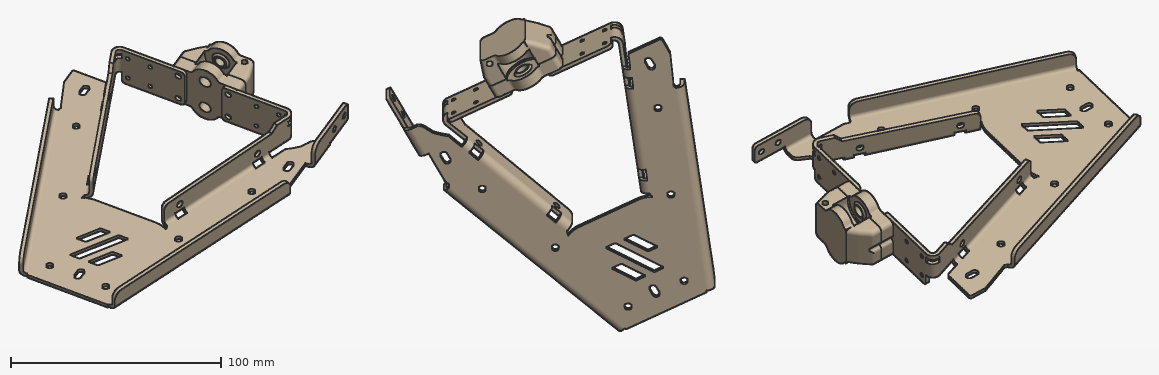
import cadquery as cq
import math


sheet = 2.0
bend_inner = 2.0
bend_outer = bend_inner + sheet
splay = 20.0
sin_splay = math.sin(math.radians(splay))
cos_splay = math.cos(math.radians(splay))

flange_foot = (-22.0, -140.28)
flange_height = 12.0
flange_corner = 4.5
left_flange_length = 110.4
right_flange_length = 112.9

arm_foot = (-22.1, -81.1)
arm_bend_length = 67.6
arm_corner = 3.0
arm_tip_height = 13.9
arm_shoulder_height = 15.45
arm_shoulder = 69.0
arm_full_height = 72.5
arm_hole_places = (10.0, 60.0)
arm_hole_height = 8.2
screw_hole = 3.5
window_length = 5.8

rear_top = 19.0
rear_bottom = -3.0
rear_inner_x = 10.0
rear_corner = 2.0
rear_middle = (rear_top + rear_bottom) / 2
block_hole = 3.1
block_hole_x = 13.4
block_hole_pitch = 15.0
small_hole = 2.1
small_hole_xs = (28.5, 40.5)
small_hole_pitch = 13.0
corner_slot_bottom = 13.3
corner_slot_top = 16.2

front_y = -141.0
throat_y = -81.7
throat_half_width = 16.6
throat_relief = (22.5, -83.4)
wing_left_x = -65.9
wing_rear_y = -9.7
wing_corner = 1.0

tab_outer_x = 66.1
tab_bend_x = tab_outer_x - bend_outer
tab_bend_rear_y = 2.1
tab_front_y = -13.5
tab_rear_y = 20.2
tab_top = 15.1
tab_front_corner = 5.0
tab_rear_top_corner = 2.0
tab_rear_bottom_corner = 1.0
tab_hole_ys = (6.3, 16.3)
tab_hole_height = 9.6
tab_hole = 3.1

base_holes = ((47.1, -42.2), (31.0, -86.4), (15.0, -130.6))
base_slots = ((-54.8, -19.2), (54.8, -19.2), (0, -129.0))
slot_length = 6.7
stripe_width = 5.4
stripe_rise = 11.25
stripe_lean = 0.65
stripe_centre_y = -108.6
stripe_pitch = 6.2
stripe_corner = 0.4

block_depth = 21.0
block_half_width = 18.0
block_half_height = 11.5
block_centre_z = 7.5
block_edge = 2.5
side_depth = 12.0
left_corner_x = -8.9
right_corner_x = 15.2
left_kink = (-13.2, 17.15)
left_corner_round = 2.0
split_y = 7.0
axle_spacing = 17.1
ear_radius = 7.75
ear_root = 2.0
front_ear_thickness = 6.0
rear_ear_thickness = 5.0
pulley_radius = 8.5
boss_base_radius = 4.7
boss_tip_radius = 3.5
boss_height = 1.0
front_axle_hole = 6.1
rear_axle_hole = 5.2
rear_axle_depth = 4.0
cable_hole = 2.88
cable_hole_place = (11.7, 18.0)
groove_opening = 5.3
groove_floor = 2.45
groove_depth = 1.3


def mirrored(shape):
    return shape.mirror("YZ")


def arm_point(place, across):
    """Point of the left arm in XY: `place` runs from its front end, `across` from the bend line."""
    return (
        arm_foot[0] - place * sin_splay + across * cos_splay,
        arm_foot[1] + place * cos_splay + across * sin_splay,
    )


def arm_point_at_y(y, across):
    place = (y - arm_foot[1] - across * sin_splay) / cos_splay
    return arm_point(place, across)


arm_plane = cq.Plane(
    origin=(*arm_foot, 0),
    xDir=(-sin_splay, cos_splay, 0),
    normal=(cos_splay, sin_splay, 0),
)


def folded_strip(start, along, length, height):
    """Sheet bent up from the base; the base lies on the right-hand side of the direction `along`."""
    outward = (-along[1], along[0], 0)
    plane = cq.Plane(origin=(*start, 0), xDir=outward, normal=(*along, 0))
    half = math.sqrt(0.5)
    profile = (
        cq.Workplane(plane)
        .moveTo(0, 0)
        .threePointArc((bend_outer * half, bend_outer * (1 - half)), (bend_outer, bend_outer))
        .lineTo(bend_outer, height)
        .lineTo(bend_inner, height)
        .lineTo(bend_inner, bend_outer)
        .threePointArc((bend_inner * half, bend_outer - bend_inner * half), (0, sheet))
        .close()
    )
    return profile.extrude(length)


def side_flange(length):
    strip = folded_strip(flange_foot, (-sin_splay, cos_splay), length, flange_height)
    ends = cq.selectors.ParallelDirSelector(cq.Vector(cos_splay, sin_splay, 0))
    return strip.faces(">Z").edges(ends).fillet(flange_corner)


def arm_and_rear_plate():
    """Left arm, its corner bend and the rear plate, with the bend that joins the arm to the base."""
    outer_corner = arm_point_at_y(0, bend_inner)
    inner_corner = arm_point_at_y(-sheet, bend_outer)
    strip = (
        cq.Workplane("XY", origin=(0, 0, bend_outer))
        .polyline([
            (-rear_inner_x, 0),
            outer_corner,
            arm_point(0, bend_inner),
            arm_point(0, bend_outer),
            inner_corner,
            (-rear_inner_x, -sheet),
        ])
        .close()
        .extrude(rear_top - bend_outer)
    )
    strip = strip.edges(cq.NearestToPointSelector((*outer_corner, rear_middle))).fillet(bend_outer)
    strip = strip.edges(cq.NearestToPointSelector((*inner_corner, rear_middle))).fillet(bend_inner)

    above_arm = (
        cq.Workplane(arm_plane)
        .polyline([
            (-1, arm_tip_height),
            (0, arm_tip_height),
            (arm_shoulder, arm_shoulder_height),
            (arm_full_height, rear_top),
            (arm_full_height, rear_top + 1),
            (-1, rear_top + 1),
        ])
        .close()
        .extrude(bend_outer + 1)
    )
    strip = strip.cut(above_arm)
    arm_tip = (*arm_point(0, bend_inner + sheet / 2), arm_tip_height)
    strip = strip.edges(cq.NearestToPointSelector(arm_tip)).fillet(arm_corner)

    corner_tangent = bend_outer / math.tan(math.radians((90 - splay) / 2))
    bend_x = outer_corner[0] + corner_tangent
    lower_plate = (
        cq.Workplane("XZ")
        .moveTo(bend_x, rear_bottom)
        .lineTo(-rear_inner_x, rear_bottom)
        .lineTo(-rear_inner_x, rear_middle)
        .lineTo(bend_x, rear_middle)
        .close()
        .extrude(sheet)
        .edges("|Y and <Z")
        .fillet(rear_corner)
    )
    strip = strip.edges("|Y and >X and >Z").fillet(rear_corner)

    corner_slot = cq.Workplane("XY").box(
        bend_x - outer_corner[0],
        corner_tangent * cos_splay,
        corner_slot_top - corner_slot_bottom,
        centered=False,
    ).translate((outer_corner[0], -corner_tangent * cos_splay, corner_slot_bottom))

    backward_start = arm_point(arm_bend_length, 0)
    bend = folded_strip(backward_start, (sin_splay, -cos_splay), arm_bend_length, bend_outer + 0.5)
    body = strip.cut(corner_slot).union(lower_plate).union(bend)

    for place in arm_hole_places:
        window = cq.Workplane(arm_plane).center(place, bend_outer / 2).rect(window_length, bend_outer)
        hole = cq.Workplane(arm_plane).center(place, arm_hole_height).circle(screw_hole / 2)
        body = body.cut(window.extrude(bend_outer)).cut(hole.extrude(bend_outer))

    block_holes = [
        (-block_hole_x, rear_middle + side * block_hole_pitch / 2) for side in (-1, 1)
    ]
    small_holes = [
        (-x, rear_middle + side * small_hole_pitch / 2) for x in small_hole_xs for side in (-1, 1)
    ]
    plate_face = cq.Workplane("XZ")
    body = body.cut(plate_face.pushPoints(block_holes).circle(block_hole / 2).extrude(sheet))
    return body.cut(plate_face.pushPoints(small_holes).circle(small_hole / 2).extrude(sheet))


def base_plate():
    left_end = (flange_foot[0] - left_flange_length * sin_splay,
                flange_foot[1] + left_flange_length * cos_splay)
    right_end = (-flange_foot[0] + right_flange_length * sin_splay,
                 flange_foot[1] + right_flange_length * cos_splay)
    throat_arc_mid = (20.0, -82.35)
    wing_inner_x = -arm_point_at_y(wing_rear_y, 0)[0]
    outline = (
        cq.Workplane("XY")
        .moveTo(flange_foot[0] + 0.4, front_y)
        .lineTo(*flange_foot)
        .lineTo(*left_end)
        .lineTo(left_end[0] + 0.5, left_end[1] + 1.8)
        .lineTo(left_end[0] - 0.3, left_end[1] + 3.4)
        .lineTo(wing_left_x, -18.8)
        .lineTo(wing_left_x, wing_rear_y)
        .lineTo(-wing_inner_x, wing_rear_y)
        .lineTo(*arm_foot)
        .lineTo(-throat_relief[0], throat_relief[1])
        .threePointArc((-throat_arc_mid[0], throat_arc_mid[1]), (-throat_half_width, throat_y))
        .lineTo(throat_half_width, throat_y)
        .threePointArc(throat_arc_mid, throat_relief)
        .lineTo(-arm_foot[0], arm_foot[1])
        .lineTo(wing_inner_x, wing_rear_y)
        .lineTo(51.0, -7.4)
        .lineTo(53.8, -4.7)
        .lineTo(55.8, -0.9)
        .threePointArc((57.0, 1.0), (58.8, tab_bend_rear_y))
        .lineTo(tab_bend_x, tab_bend_rear_y)
        .lineTo(tab_bend_x, tab_front_y)
        .lineTo(60.9, tab_front_y)
        .lineTo(60.9, -30.6)
        .lineTo(60.2, -32.2)
        .lineTo(right_end[0] - 0.5, right_end[1] + 1)
        .lineTo(*right_end)
        .lineTo(-flange_foot[0], flange_foot[1])
        .lineTo(-flange_foot[0] - 0.4, front_y)
        .close()
    )
    plate = outline.extrude(sheet)
    for x in (wing_left_x, -wing_inner_x):
        corner = cq.NearestToPointSelector((x, wing_rear_y, sheet / 2))
        plate = plate.edges(corner).fillet(wing_corner)
    holes = [(side * x, y) for x, y in base_holes for side in (-1, 1)]
    plate = plate.cut(cq.Workplane("XY").pushPoints(holes).circle(screw_hole / 2).extrude(sheet))
    slots = cq.Workplane("XY").pushPoints(base_slots).slot2D(slot_length, screw_hole, 90)
    return plate.cut(slots.extrude(sheet)).cut(slanted_openings())


def slanted_openings():
    def opening(x, y, rise):
        run = rise * stripe_lean
        return (
            cq.Workplane("XY", origin=(x, y, 0))
            .polyline([
                (-run / 2 - stripe_width / 2, -rise / 2),
                (-run / 2 + stripe_width / 2, -rise / 2),
                (run / 2 + stripe_width / 2, rise / 2),
                (run / 2 - stripe_width / 2, rise / 2),
            ])
            .close()
            .extrude(sheet)
        )

    openings = opening(0, stripe_centre_y, 2 * stripe_rise)
    for side in (-1, 1):
        short = opening(side * stripe_pitch, stripe_centre_y - side * stripe_rise / 2, stripe_rise)
        openings = openings.union(short)
    return openings.edges("|Z").fillet(stripe_corner)


def wing_tab():
    start = (tab_bend_x, tab_bend_rear_y)
    foot = folded_strip(start, (0, -1), tab_bend_rear_y - tab_front_y, tab_top)
    foot = foot.edges("|X and >Z and <Y").fillet(tab_front_corner)
    reach = tab_rear_y - tab_bend_rear_y
    tail = (
        cq.Workplane("XY")
        .box(sheet, reach, tab_top - bend_outer, centered=False)
        .translate((tab_outer_x - sheet, tab_bend_rear_y, bend_outer))
        .edges("|X and >Y and >Z")
        .fillet(tab_rear_top_corner)
        .edges("|X and >Y and <Z")
        .fillet(tab_rear_bottom_corner)
    )
    holes = (
        cq.Workplane("YZ", origin=(tab_outer_x - sheet, 0, 0))
        .pushPoints([(y, tab_hole_height) for y in tab_hole_ys])
        .circle(tab_hole / 2)
        .extrude(sheet)
    )
    return foot.union(tail).cut(holes)


def make_bracket():
    left_arm = arm_and_rear_plate().val()
    bracket = base_plate()
    bracket = bracket.union(side_flange(left_flange_length))
    bracket = bracket.union(cq.Workplane(mirrored(side_flange(right_flange_length).val())))
    bracket = bracket.union(cq.Workplane(left_arm)).union(cq.Workplane(mirrored(left_arm)))
    return bracket.union(wing_tab())


axle_heights = [block_centre_z + side * axle_spacing / 2 for side in (-1, 1)]


def disc(z, radius, start_y, end_y):
    """Cylinder along Y on the axle at height z."""
    return cq.Workplane("XZ", origin=(0, start_y, z)).circle(radius).extrude(start_y - end_y)


def block_body():
    bottom = block_centre_z - block_half_height
    body = (
        cq.Workplane("XY", origin=(0, 0, bottom))
        .polyline([
            (-block_half_width, 0),
            (-block_half_width, side_depth),
            left_kink,
            (left_corner_x, block_depth),
            (right_corner_x, block_depth),
            (block_half_width, side_depth),
            (block_half_width, 0),
        ])
        .close()
        .extrude(2 * block_half_height)
    )
    corner = (-block_half_width, side_depth, block_centre_z)
    body = body.edges(cq.NearestToPointSelector(corner)).fillet(left_corner_round)
    left = cq.selectors.BoxSelector((-block_half_width - 1, -1, bottom - 1),
                                    (left_corner_x - 1, block_depth + 1, bottom + 50))
    right = cq.selectors.BoxSelector((right_corner_x + 0.5, -1, bottom - 1),
                                     (block_half_width + 1, block_depth + 1, bottom + 50))
    body = body.faces("<Z or >Z").edges(left + right).fillet(block_edge)
    return body


def ear(axle_z, side, start_y, end_y):
    """Round ear on the block's top (side = 1) or underside (side = -1), with hollow roots."""
    surface = block_half_height - axle_spacing / 2
    root_height = surface + ear_root
    root_x = math.sqrt((ear_radius + ear_root) ** 2 - root_height ** 2)
    touch = ear_radius / (ear_radius + ear_root)
    touch_x = root_x * touch
    touch_z = root_height * touch
    toward_axle = math.atan2(touch_z - root_height, touch_x - root_x)
    mid_angle = (toward_axle % (2 * math.pi) + 1.5 * math.pi) / 2
    mid = (root_x + ear_root * math.cos(mid_angle), root_height + ear_root * math.sin(mid_angle))
    outline = (
        cq.Workplane("XZ", origin=(0, start_y, axle_z))
        .moveTo(-root_x, 0)
        .lineTo(-root_x, side * surface)
        .threePointArc((-mid[0], side * mid[1]), (-touch_x, side * touch_z))
        .threePointArc((0, side * ear_radius), (touch_x, side * touch_z))
        .threePointArc((mid[0], side * mid[1]), (root_x, side * surface))
        .lineTo(root_x, 0)
        .close()
    )
    return outline.extrude(start_y - end_y)


def pulley_pocket(axle_z, side):
    """Room for a pulley: round toward the block's middle, straight-sided toward the outside."""
    front = front_ear_thickness
    rear = block_depth - rear_ear_thickness
    straight = (
        cq.Workplane("XY", origin=(0, (front + rear) / 2, axle_z))
        .rect(2 * pulley_radius, rear - front)
        .extrude(side * 2 * ear_radius)
    )
    return straight.union(disc(axle_z, pulley_radius, front, rear))


def boss(axle_z, y, direction):
    """Tapered boss on an ear's inner face; direction is +1 when it points toward +Y."""
    base = cq.Workplane("XZ", origin=(0, y, axle_z)).circle(boss_base_radius)
    return base.workplane(offset=-direction * boss_height).circle(boss_tip_radius).loft()


def side_groove():
    turn = 2 * math.atan(2 * groove_depth / groove_opening)
    floor_half = groove_floor / 2
    opening_half = groove_opening / 2
    edge_radius = (opening_half - floor_half) / math.sin(turn)
    meet_depth = edge_radius * (1 - math.cos(turn))
    edge_mid = (edge_radius * (1 - math.cos(turn / 2)), opening_half - edge_radius * math.sin(turn / 2))
    outline = (
        cq.Workplane("XZ", origin=(-block_half_width, 0, block_centre_z))
        .moveTo(0, -opening_half)
        .threePointArc((edge_mid[0], -edge_mid[1]), (meet_depth, -floor_half))
        .threePointArc((groove_depth, 0), (meet_depth, floor_half))
        .threePointArc(edge_mid, (0, opening_half))
        .close()
    )
    return outline.extrude(-block_depth)


def make_block():
    rear_face = block_depth - rear_ear_thickness
    block = block_body()
    for side, z in zip((-1, 1), axle_heights):
        block = block.union(ear(z, side, 0, front_ear_thickness))
        block = block.union(ear(z, side, rear_face, block_depth))
    for side, z in zip((-1, 1), axle_heights):
        block = block.cut(pulley_pocket(z, side))
    for z in axle_heights:
        block = block.union(boss(z, front_ear_thickness, 1)).union(boss(z, rear_face, -1))
    for z in axle_heights:
        block = block.cut(disc(z, front_axle_hole / 2, 0, split_y))
        block = block.cut(disc(z, rear_axle_hole / 2, rear_face - boss_height, rear_face + rear_axle_depth))
    block = block.cut(side_groove())
    cable = cq.Workplane("XY", origin=(0, 0, block_centre_z)).center(*cable_hole_place)
    return block.cut(cable.circle(cable_hole / 2).extrude(block_half_height, both=True))


def half_space(start_y, end_y):
    size = 4 * block_half_width
    return cq.Workplane("XZ", origin=(0, start_y, 0)).rect(size, size).extrude(start_y - end_y)


bracket = make_bracket()
block = make_block()
front_block = block.intersect(half_space(0, split_y))
rear_block = block.intersect(half_space(split_y, block_depth))

result = cq.Compound.makeCompound([bracket.val(), front_block.val(), rear_block.val()])